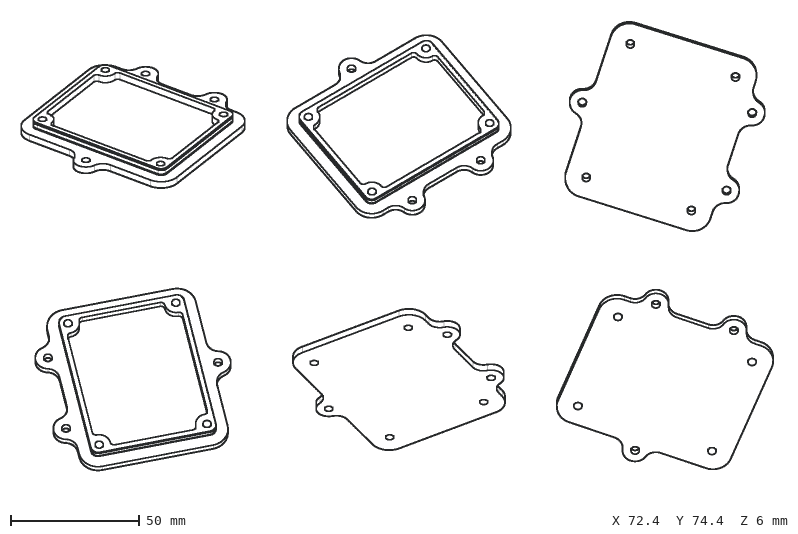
import cadquery as cq
import math

plate_length = 72.4
overall_width = 74.4
ear_reach = 7.5
plate_width = overall_width - 2 * ear_reach
plate_thickness = 3.0
plate_corner_radius = 7.5

ear_radius = 5.0
ear_blend_radius = 5.0
ear_hole_diameter = 3.3
ear_spacing = 32.65
ears = [(-ear_spacing / 2, 1), (ear_spacing / 2, 1), (0, -1)]
ear_center_y = overall_width / 2 - ear_radius

overall_height = 6.0
platform_inset = 4.7
platform_length = plate_length - 2 * platform_inset
platform_width = plate_width - 2 * platform_inset
platform_corner_radius = plate_corner_radius - platform_inset
platform_height = overall_height - plate_thickness

groove_radius = 0.9
groove_center_z = 4.3

wall_thickness = 2.0
pocket_length = platform_length - 2 * wall_thickness
pocket_width = platform_width - 2 * wall_thickness
pocket_depth = 3.05
post_radius = 4.5
post_blend_radius = 1.5
post_hole_inset = 3.4
post_hole_diameter = 3.2
post_spacing_x = platform_length - 2 * post_hole_inset
post_spacing_y = platform_width - 2 * post_hole_inset


def rounded_block(length, width, height, radius):
    block = cq.Workplane("XY").box(length, width, height, centered=(True, True, False))
    return block.edges("|Z").fillet(radius)


def make_ear(x, side):
    """Round ear whose flanks run into the plate edge through tangent concave arcs."""
    edge_y = plate_width / 2
    blend_y = edge_y + ear_blend_radius
    center_distance = ear_radius + ear_blend_radius
    blend_dx = math.sqrt(center_distance**2 - (blend_y - ear_center_y) ** 2)
    ear_share = ear_radius / center_distance
    tangent_dx = blend_dx * ear_share
    tangent_y = ear_center_y + (blend_y - ear_center_y) * ear_share
    blend_angle = math.atan2(blend_dx, blend_y - ear_center_y)
    mid_dx = blend_dx - ear_blend_radius * math.sin(blend_angle / 2)
    mid_y = blend_y - ear_blend_radius * math.cos(blend_angle / 2)
    root_y = edge_y - platform_inset

    def point(dx, y):
        return (x + dx, side * y)

    return (
        cq.Workplane("XY")
        .moveTo(*point(-blend_dx, root_y))
        .lineTo(*point(-blend_dx, edge_y))
        .threePointArc(point(-mid_dx, mid_y), point(-tangent_dx, tangent_y))
        .threePointArc(point(0, overall_width / 2), point(tangent_dx, tangent_y))
        .threePointArc(point(mid_dx, mid_y), point(blend_dx, edge_y))
        .lineTo(*point(blend_dx, root_y))
        .close()
        .extrude(plate_thickness)
    )


def make_groove():
    path = (
        rounded_block(platform_length, platform_width, groove_center_z, platform_corner_radius)
        .faces(">Z")
        .wires()
        .val()
    )
    section = cq.Workplane("XZ").center(platform_length / 2, groove_center_z)
    return section.circle(groove_radius).sweep(cq.Workplane(path), transition="round")


def make_pocket():
    floor_z = overall_height - pocket_depth
    pocket = (
        cq.Workplane("XY", origin=(0, 0, floor_z))
        .box(pocket_length, pocket_width, pocket_depth, centered=(True, True, False))
    )
    posts = (
        cq.Workplane("XY", origin=(0, 0, floor_z))
        .rect(post_spacing_x, post_spacing_y, forConstruction=True)
        .vertices()
        .circle(post_radius)
        .extrude(pocket_depth)
    )
    return pocket.cut(posts).edges("|Z").fillet(post_blend_radius)


body = rounded_block(plate_length, plate_width, plate_thickness, plate_corner_radius)
for ear_x, ear_side in ears:
    body = body.union(make_ear(ear_x, ear_side))
platform = rounded_block(platform_length, platform_width, platform_height, platform_corner_radius)
body = body.union(platform.translate((0, 0, plate_thickness)))

body = body.cut(make_groove()).cut(make_pocket())

ear_holes = (
    cq.Workplane("XY")
    .pushPoints([(ear_x, ear_side * ear_center_y) for ear_x, ear_side in ears])
    .circle(ear_hole_diameter / 2)
    .extrude(overall_height)
)
post_holes = (
    cq.Workplane("XY")
    .rect(post_spacing_x, post_spacing_y, forConstruction=True)
    .vertices()
    .circle(post_hole_diameter / 2)
    .extrude(overall_height)
)
result = body.cut(ear_holes).cut(post_holes)